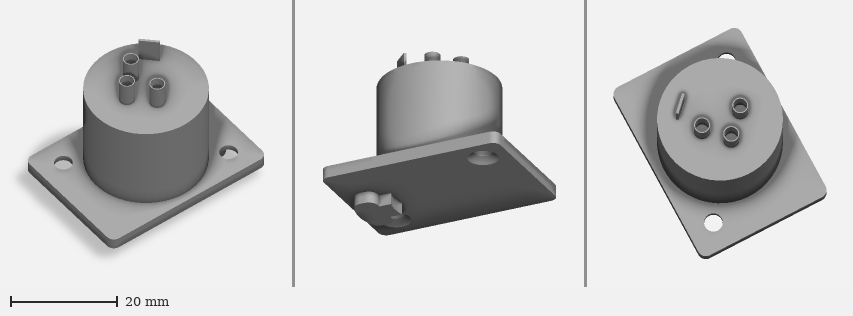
import cadquery as cq
import math

FLANGE_WIDTH = 27.0
FLANGE_LENGTH = 36.7
FLANGE_THICKNESS = 2.4
FLANGE_CORNER_RADIUS = 1.6
SCREW_HOLE_DIAMETER = 3.5
COUNTERSINK_DIAMETER = 6.0
COUNTERSINK_ANGLE = 90.0
SCREW_HOLE_X = 8.35
SCREW_HOLE_Y = 13.1

HOUSING_DIAMETER = 23.6
HOUSING_HEIGHT = 18.7
HOUSING_TOP = FLANGE_THICKNESS + HOUSING_HEIGHT

TERMINAL_HEIGHT = 5.0
CUP_DIAMETER = 3.0
CUP_BORE_DIAMETER = 2.6
CUP_SPACING = 4.05
CUP_ROW_Y = -0.45
CUP_CENTRES = [
    (-CUP_SPACING, CUP_ROW_Y),
    (CUP_SPACING, CUP_ROW_Y),
    (0, CUP_ROW_Y - CUP_SPACING),
]
BLADE_LENGTH = 4.0
BLADE_THICKNESS = 0.5
BLADE_CENTRE = (-5.7, 5.15)
BLADE_ANGLE = 45.0

LATCH_HEIGHT = 2.3
LATCH_HALF_WIDTH = 5.0
LATCH_NECK_HALF_WIDTH = 2.45
LATCH_CORNER_RADIUS = 2.0
LATCH_OUTER_Y = 16.7
LATCH_SHOULDER_Y = 11.3
LATCH_ARC_RADIUS = 9.25


def make_flange():
    flange = (
        cq.Workplane("XY")
        .rect(FLANGE_WIDTH, FLANGE_LENGTH)
        .extrude(FLANGE_THICKNESS)
        .edges("|Z")
        .fillet(FLANGE_CORNER_RADIUS)
    )
    return (
        flange.faces("<Z")
        .workplane(origin=(0, 0, 0))
        .pushPoints([(SCREW_HOLE_X, -SCREW_HOLE_Y), (-SCREW_HOLE_X, SCREW_HOLE_Y)])
        .cskHole(SCREW_HOLE_DIAMETER, COUNTERSINK_DIAMETER, COUNTERSINK_ANGLE)
    )


def make_housing():
    return (
        cq.Workplane("XY")
        .workplane(offset=FLANGE_THICKNESS)
        .circle(HOUSING_DIAMETER / 2)
        .extrude(HOUSING_HEIGHT)
    )


def make_solder_cups():
    """Three open tubes whose bores end at the housing's top face."""
    return (
        cq.Workplane("XY")
        .workplane(offset=HOUSING_TOP)
        .pushPoints(CUP_CENTRES)
        .circle(CUP_DIAMETER / 2)
        .circle(CUP_BORE_DIAMETER / 2)
        .extrude(TERMINAL_HEIGHT)
    )


def make_ground_blade():
    return (
        cq.Workplane("XY")
        .workplane(offset=HOUSING_TOP)
        .center(*BLADE_CENTRE)
        .transformed(rotate=(0, 0, BLADE_ANGLE))
        .rect(BLADE_LENGTH, BLADE_THICKNESS)
        .extrude(TERMINAL_HEIGHT)
    )


def make_latch():
    """Rounded thumb pad with a crowned outer end and a neck hollowed about the housing axis."""
    corner_x = LATCH_HALF_WIDTH - LATCH_CORNER_RADIUS
    lower_corner_y = LATCH_SHOULDER_Y + LATCH_CORNER_RADIUS
    neck_end_y = math.sqrt(LATCH_ARC_RADIUS**2 - LATCH_NECK_HALF_WIDTH**2)

    crown_centre_y = LATCH_OUTER_Y - LATCH_ARC_RADIUS
    centre_distance = LATCH_ARC_RADIUS - LATCH_CORNER_RADIUS
    centre_rise = math.sqrt(centre_distance**2 - corner_x**2)
    upper_corner_y = crown_centre_y + centre_rise
    tangent_x = LATCH_ARC_RADIUS * corner_x / centre_distance
    tangent_y = crown_centre_y + LATCH_ARC_RADIUS * centre_rise / centre_distance

    return (
        cq.Workplane("XY")
        .moveTo(-LATCH_NECK_HALF_WIDTH, neck_end_y)
        .threePointArc((0, LATCH_ARC_RADIUS), (LATCH_NECK_HALF_WIDTH, neck_end_y))
        .lineTo(LATCH_NECK_HALF_WIDTH, LATCH_SHOULDER_Y)
        .lineTo(corner_x, LATCH_SHOULDER_Y)
        .radiusArc((LATCH_HALF_WIDTH, lower_corner_y), -LATCH_CORNER_RADIUS)
        .lineTo(LATCH_HALF_WIDTH, upper_corner_y)
        .radiusArc((tangent_x, tangent_y), -LATCH_CORNER_RADIUS)
        .threePointArc((0, LATCH_OUTER_Y), (-tangent_x, tangent_y))
        .radiusArc((-LATCH_HALF_WIDTH, upper_corner_y), -LATCH_CORNER_RADIUS)
        .lineTo(-LATCH_HALF_WIDTH, lower_corner_y)
        .radiusArc((-corner_x, LATCH_SHOULDER_Y), -LATCH_CORNER_RADIUS)
        .lineTo(-LATCH_NECK_HALF_WIDTH, LATCH_SHOULDER_Y)
        .close()
        .extrude(-LATCH_HEIGHT)
    )


result = (
    make_flange()
    .union(make_housing())
    .union(make_solder_cups())
    .union(make_ground_blade())
    .union(make_latch())
)